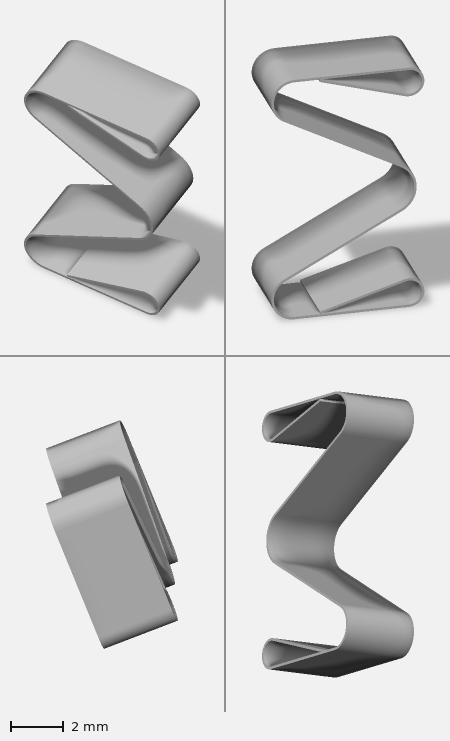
import cadquery as cq
import math

length = 6.0
width = 3.0
height = 10.0
thickness = 0.1

hook_radius = 0.6
side_radius = 0.9
middle_radius = 1.1

middle_reach = 5.7
tail_angle = math.radians(16.3)
tail_length = 3.47

left = -length / 2
hook_center = (length / 2 - hook_radius, height / 2 - hook_radius)
side_center = (left + side_radius, height / 2 - side_radius)
middle_center = (left + middle_reach - middle_radius, 0)

hook_mid = hook_radius - thickness / 2
side_mid = side_radius - thickness / 2
middle_mid = middle_radius - thickness / 2

run = middle_center[0] - side_center[0]
drop = side_center[1] - middle_center[1]
leg_angle = math.atan2(drop, run) - math.asin((side_mid + middle_mid) / math.hypot(run, drop))


def on_bend(center, radius, angle):
    """Point on a bend, with the angle measured from +X towards +Z."""
    return (center[0] + radius * math.cos(angle), center[1] + radius * math.sin(angle))


top = math.pi / 2
hook_end = -math.pi / 2 - tail_angle
side_end = 3 * math.pi / 2 - leg_angle
middle_start = math.pi / 2 - leg_angle

tail_joint = on_bend(hook_center, hook_mid, hook_end)
tail_tip = (
    tail_joint[0] - tail_length * math.cos(tail_angle),
    tail_joint[1] + tail_length * math.sin(tail_angle),
)

path = (
    cq.Workplane("XZ")
    .moveTo(*tail_tip)
    .lineTo(*tail_joint)
    .threePointArc(
        on_bend(hook_center, hook_mid, (hook_end + top) / 2),
        on_bend(hook_center, hook_mid, top),
    )
    .lineTo(*on_bend(side_center, side_mid, top))
    .threePointArc(
        on_bend(side_center, side_mid, (top + side_end) / 2),
        on_bend(side_center, side_mid, side_end),
    )
    .lineTo(*on_bend(middle_center, middle_mid, middle_start))
    .threePointArc(
        on_bend(middle_center, middle_mid, middle_start / 2),
        on_bend(middle_center, middle_mid, 0),
    )
)

section_plane = cq.Plane(
    origin=(tail_tip[0], 0, tail_tip[1]),
    xDir=(0, 1, 0),
    normal=(math.cos(tail_angle), 0, -math.sin(tail_angle)),
)
upper_half = cq.Workplane(section_plane).rect(width, thickness).sweep(path)

result = upper_half.union(upper_half.mirror("XY")).clean()